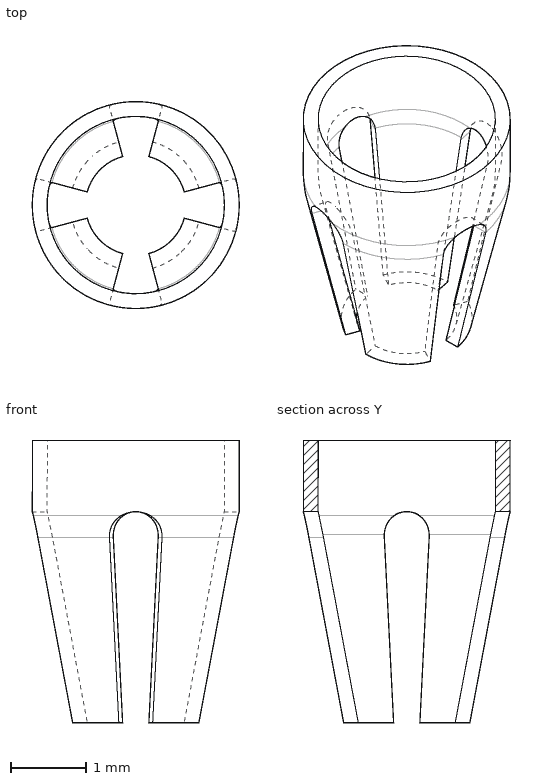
import cadquery as cq
import math

height = 3.75
outer_radius = 2.75 / 2
wall = 0.2
collar_bottom = 2.75
taper = math.radians(11)
outer_bend_radius = 1.5
slot_count = 4
slot_half_angle = math.radians(15)
slot_top = 2.8

cut_start = 0.375
cut_end = 1.688

bend_center_radius = outer_radius - outer_bend_radius


def bend_point(bend_radius, angle):
    """Point (radius, z) on a bend arc, turned by angle from vertical."""
    return (
        bend_center_radius + bend_radius * math.cos(angle),
        collar_bottom - bend_radius * math.sin(angle),
    )


def foot_point(bend_radius):
    """Point at z = 0 on the straight line leaving the bend."""
    radius, z = bend_point(bend_radius, taper)
    return (radius - z * math.tan(taper), 0)


def sleeve():
    """Collar and tapered skirt of constant wall thickness, before slotting."""
    inner_radius = outer_radius - wall
    inner_bend_radius = outer_bend_radius - wall
    return (
        cq.Workplane("XZ")
        .moveTo(outer_radius, height)
        .lineTo(outer_radius, collar_bottom)
        .threePointArc(bend_point(outer_bend_radius, taper / 2), bend_point(outer_bend_radius, taper))
        .lineTo(*foot_point(outer_bend_radius))
        .lineTo(*foot_point(inner_bend_radius))
        .lineTo(*bend_point(inner_bend_radius, taper))
        .threePointArc(bend_point(inner_bend_radius, taper / 2), (inner_radius, collar_bottom))
        .lineTo(inner_radius, height)
        .close()
        .revolve(360, (0, 0, 0), (0, 1, 0))
    )


def slot_cutter():
    """Radial wedge towards -Y with a full-round top of constant height."""
    round_base = bend_point(outer_bend_radius, taper)[1]
    round_height = slot_top - round_base
    start_half_width = cut_start * math.tan(slot_half_angle)
    end_half_width = cut_end * math.tan(slot_half_angle)
    wedge = (
        cq.Workplane("XY")
        .polyline([
            (-start_half_width, -cut_start),
            (start_half_width, -cut_start),
            (end_half_width, -cut_end),
            (-end_half_width, -cut_end),
        ])
        .close()
        .extrude(round_base)
    )
    round_top = (
        cq.Workplane("XZ", origin=(0, -cut_start, round_base))
        .ellipse(start_half_width, round_height)
        .workplane(offset=cut_end - cut_start)
        .ellipse(end_half_width, round_height)
        .loft(ruled=True)
    )
    return wedge.union(round_top)


result = sleeve()
cutter = slot_cutter()
for index in range(slot_count):
    result = result.cut(cutter.rotate((0, 0, 0), (0, 0, 1), index * 360 / slot_count))